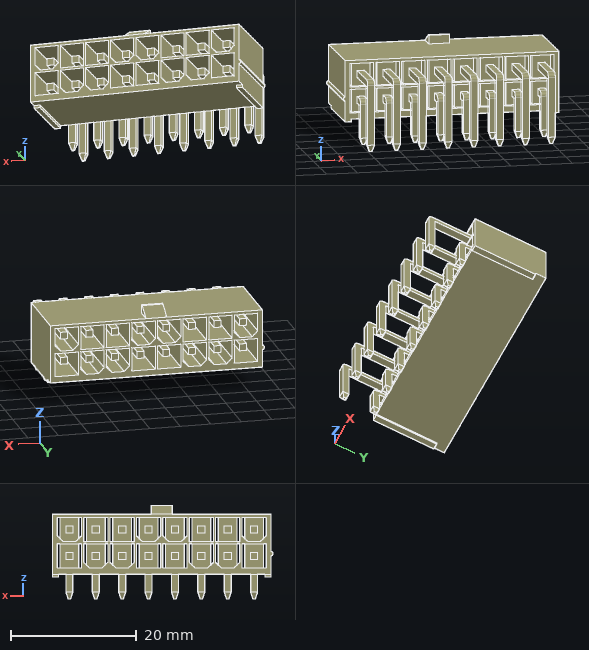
import cadquery as cq


columns = 8
pitch = 4.2
row_bend_spacing = 5.5

end_margin = 2.7
body_width = (columns - 1) * pitch + 2 * end_margin
body_depth = 12.77
body_height = 10.0
foot_width = 1.0
foot_height = 0.43
foot_setback = 1.85

cavity_size = 3.83
top_wall = 0.52
upper_row_z = body_height - top_wall - cavity_size / 2
lower_row_z = upper_row_z - pitch
recess_depth = 0.8
web_thickness = 2.0
web_width = 3.03
key_chamfer = 0.92
keyed_upper_columns = (0, 3, 4, 7)

latch_width = 3.4
latch_length = 3.0
latch_height = 1.4
latch_flat = 0.45
rib_radius = 0.36
rib_projection = 0.32
rib_z = 3.73

pin_size = 1.14
pin_bend_radius = 0.8
pin_tip_length = 1.12
pin_tip_size = 0.4
pin_drop = 3.5
lower_pin_reach = 1.7
upper_pin_reach = lower_pin_reach + row_bend_spacing
pin_mating_gap = 2.0


def box(width, depth, height, x, y, z):
    """Box centred on x, starting at y and z."""
    return cq.Workplane("XY").box(width, depth, height, centered=(True, False, False)).translate((x, y, z))


def column_x(column):
    return (column - (columns - 1) / 2) * pitch


def make_housing():
    body = box(body_width, body_depth, body_height - foot_height, 0, 0, foot_height)
    foot_x = (body_width - foot_width) / 2
    for side in (-1, 1):
        foot = box(foot_width, body_depth - foot_setback, foot_height, side * foot_x, 0, 0)
        body = body.union(foot)
    return body


def make_cavity(x, z, keyed):
    """Space removed around one web: pin-side recess, two slots and mating socket."""
    floor_z = z - cavity_size / 2
    socket_y = recess_depth + web_thickness
    rear = box(cavity_size, socket_y, cavity_size, x, 0, floor_z)
    web = box(web_width, web_thickness, cavity_size, x, recess_depth, floor_z)
    socket = box(cavity_size, body_depth - socket_y, cavity_size, x, socket_y, floor_z)
    if keyed:
        socket = socket.edges("|Y and <Z").chamfer(key_chamfer)
    return rear.cut(web).union(socket)


def make_latch():
    top = body_height + latch_height
    back = body_depth - latch_length
    return (
        cq.Workplane("YZ")
        .moveTo(body_depth, body_height)
        .lineTo(back + latch_flat, top)
        .lineTo(back, top)
        .lineTo(back, body_height)
        .close()
        .extrude(latch_width / 2, both=True)
    )


def make_rib():
    axis_x = -body_width / 2 - rib_projection + rib_radius
    return cq.Workplane("XZ").center(axis_x, rib_z).circle(rib_radius).extrude(-body_depth)


def make_pin(x, z, reach):
    """L-shaped square contact, rounded on the outside of its bend, with a tapered tip."""
    shoulder_z = pin_tip_length - pin_drop
    pin_top = z + pin_size / 2
    horizontal_length = reach + body_depth - pin_mating_gap
    horizontal = box(pin_size, horizontal_length, pin_size, x, -reach, z - pin_size / 2)
    leg = box(pin_size, pin_size, pin_top - shoulder_z, x, -reach, shoulder_z)
    bent = horizontal.union(leg).edges("|X and >Z and <Y").fillet(pin_bend_radius)
    tip = (
        cq.Workplane("XY", origin=(x, pin_size / 2 - reach, shoulder_z))
        .rect(pin_size, pin_size)
        .workplane(offset=-pin_tip_length)
        .rect(pin_tip_size, pin_tip_size)
        .loft(ruled=True)
    )
    return bent.union(tip)


housing = make_housing().union(make_latch()).union(make_rib())
pins = []
for column in range(columns):
    x = column_x(column)
    upper_keyed = column in keyed_upper_columns
    housing = housing.cut(make_cavity(x, upper_row_z, upper_keyed))
    housing = housing.cut(make_cavity(x, lower_row_z, not upper_keyed))
    pins.append(make_pin(x, upper_row_z, upper_pin_reach))
    pins.append(make_pin(x, lower_row_z, lower_pin_reach))

result = housing
for pin in pins:
    result = result.union(pin)